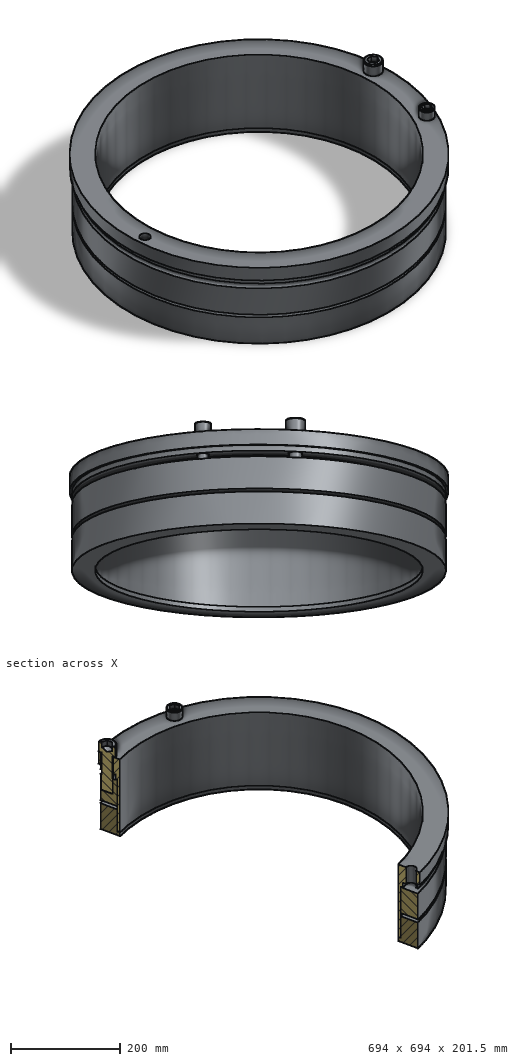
import cadquery as cq
import math

bore_diameter = 600.0
ring_diameter = 685.0
ring_height = 60.5
seat_diameter = 613.0

flange_diameter = 694.0
flange_thickness = 29.0
collar_thickness = 10.5
neck_diameter = 620.5
lip_height = 9.0

lower_gap = 6.0
upper_gap = 11.0
middle_bottom = ring_height + lower_gap
middle_top = middle_bottom + ring_height
collar_bottom = middle_top + upper_gap
flange_bottom = collar_bottom + collar_thickness
flange_top = flange_bottom + flange_thickness

pitch_radius = 327.5
jacking_hole_diameter = 21.0
jacking_hole_angle = -90.0
thread_engagement = 35.0
shank_bottom = middle_top - thread_engagement
hex_sides = 6
drill_point_angle = 120.0

screws = {
    "large": dict(angle=90.0, head=36.0, shank=24.0, clearance=26.0, socket=22.0, chamfer=2.0),
    "small": dict(angle=60.0, head=30.0, shank=20.0, clearance=22.0, socket=20.0, chamfer=1.5),
}


def cylinder(diameter, bottom, top):
    """Upright cylinder about the Z axis."""
    return cq.Workplane("XY").workplane(offset=bottom).circle(diameter / 2).extrude(top - bottom)


def place_on_pitch_circle(shape, angle):
    """Move a shape from the Z axis to an angle on the pitch circle."""
    direction = math.radians(angle)
    return shape.translate((pitch_radius * math.cos(direction), pitch_radius * math.sin(direction), 0))


def make_sleeve():
    """Flange and collar on a stepped sleeve, with the through holes for the screws."""
    sleeve = cylinder(flange_diameter, flange_bottom, flange_top)
    sleeve = sleeve.union(cylinder(ring_diameter, collar_bottom, flange_bottom))
    sleeve = sleeve.union(cylinder(neck_diameter, middle_top, collar_bottom))
    sleeve = sleeve.union(cylinder(seat_diameter, lip_height, middle_top))
    sleeve = sleeve.cut(cylinder(bore_diameter, lip_height, flange_top))
    holes = [(screw["clearance"], screw["angle"]) for screw in screws.values()]
    holes.append((jacking_hole_diameter, jacking_hole_angle))
    for diameter, angle in holes:
        hole = cylinder(diameter, collar_bottom, flange_top)
        sleeve = sleeve.cut(place_on_pitch_circle(hole, angle))
    return sleeve


def make_middle_ring():
    """Plain ring with blind holes that receive the screw shanks."""
    ring = cylinder(ring_diameter, middle_bottom, middle_top)
    ring = ring.cut(cylinder(seat_diameter, middle_bottom, middle_top))
    for screw in screws.values():
        hole = cylinder(screw["shank"], shank_bottom, middle_top)
        ring = ring.cut(place_on_pitch_circle(hole, screw["angle"]))
    return ring


def make_bottom_ring():
    """Ring with an inward lip that closes the lower end of the sleeve."""
    ring = cylinder(ring_diameter, 0, ring_height)
    ring = ring.cut(cylinder(bore_diameter, 0, lip_height))
    return ring.cut(cylinder(seat_diameter, lip_height, ring_height))


def make_screw(angle, head, shank, socket, chamfer, **_):
    """Cap screw with a hexagonal socket ending in a conical drill point."""
    head_top = flange_top + shank
    socket_bottom = head_top - shank / 2
    screw = cylinder(head, flange_top, head_top).faces(">Z").edges().chamfer(chamfer)
    screw = screw.union(cylinder(shank, shank_bottom, flange_top))
    socket_top = cq.Workplane("XY").workplane(offset=socket_bottom)
    hexagon = socket_top.polygon(hex_sides, socket).extrude(shank / 2)
    corner_turn = 180 / hex_sides
    screw = screw.cut(hexagon.rotate((0, 0, 0), (0, 0, 1), corner_turn))
    inner_radius = socket / 2 * math.cos(math.pi / hex_sides)
    point_depth = inner_radius / math.tan(math.radians(drill_point_angle / 2))
    point = cq.Solid.makeCone(
        inner_radius, 0, point_depth, pnt=cq.Vector(0, 0, socket_bottom), dir=cq.Vector(0, 0, -1)
    )
    return place_on_pitch_circle(screw.cut(cq.Workplane(point)), angle)


sleeve = make_sleeve()
middle_ring = make_middle_ring()
bottom_ring = make_bottom_ring()
cap_screws = [make_screw(**screw) for screw in screws.values()]

result = cq.Compound.makeCompound(
    [sleeve.val(), middle_ring.val(), bottom_ring.val(), *[screw.val() for screw in cap_screws]]
)